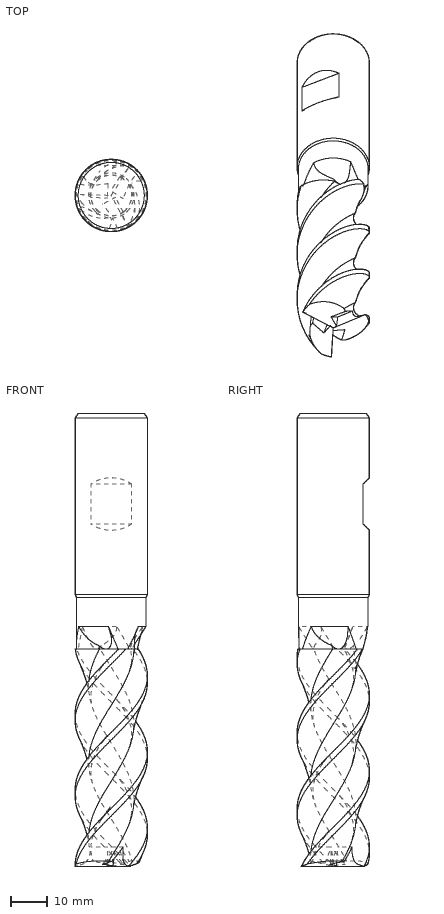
import cadquery as cq
import math

total_length = 125.0
radius = 10.0
cutter_length = 60.0
neck_radius = 9.6
neck_top = 75.0
neck_bevel_height = 0.8
top_bevel_height = 1.2
top_bevel_width = 0.9

flat_depth = 1.8
flat_length = 11.0
flat_center_z = 100.0

flute_count = 3
flute_angle = 360.0 / flute_count
helix_pitch = 2 * math.pi * radius
first_edge_angle = 58.0

land_angle = 12.0
back_middle_share = 0.43
back_middle_radius = 7.9
heel_angle = 77.0
heel_radius = 6.2
flute_floor_angle = 97.0
flute_floor_radius = 5.6
rake_angle = 117.5
rake_radius = 8.4

runout_top = 66.2
runout_twist = -16.0
runout_land_angle = 54.0
runout_steps = 4

end_relief_angle = 14.0
gash_height = 5.4
gash_width = 3.8
gash_lean = 0.8
gash_inner_radius = 1.0
clearance = 2.5


def polar(r, angle):
    return (r * math.cos(math.radians(angle)), r * math.sin(math.radians(angle)))


def tooth_angles():
    return [first_edge_angle + i * flute_angle for i in range(flute_count)]


def twist_over(height):
    return 360.0 * height / helix_pitch


def tooth_section(workplane, turn, land):
    """Closed outline with one land, back, flute floor and rake per tooth."""
    def point(r, angle):
        return polar(r, angle + turn)

    back_middle = land + back_middle_share * (heel_angle - land)
    section = workplane.moveTo(*point(radius, first_edge_angle))
    for edge in tooth_angles():
        section = section.threePointArc(
            point(radius, edge + land / 2), point(radius, edge + land)
        )
        section = section.threePointArc(
            point(back_middle_radius, edge + back_middle), point(heel_radius, edge + heel_angle)
        )
        section = section.threePointArc(
            point(flute_floor_radius, edge + flute_floor_angle), point(rake_radius, edge + rake_angle)
        )
        section = section.lineTo(*point(radius, edge + flute_angle))
    return section.close()


def runout_rod():
    """Rod that turns slightly backward and whose lands widen upward, so that the flutes narrow."""
    height = runout_top - cutter_length
    rod = cq.Workplane("XY", origin=(0, 0, cutter_length))
    for step in range(runout_steps + 1):
        share = step / runout_steps
        turn = twist_over(cutter_length) + share * runout_twist
        land = land_angle + share * (runout_land_angle - land_angle)
        rod = tooth_section(rod, turn, land)
        if step < runout_steps:
            rod = rod.workplane(offset=height / runout_steps)
    return rod.loft()


def end_relief(edge_angle):
    """Wedge below the end face of a tooth, which rises behind its cutting edge."""
    reach = radius + clearance
    rise = reach * math.tan(math.radians(end_relief_angle))
    wedge = (
        cq.Workplane("YZ", origin=(-reach, 0, 0))
        .polyline([(0, 0), (reach, rise), (reach, -clearance), (0, -clearance)])
        .close()
        .extrude(2 * reach)
    )
    sector = (
        cq.Workplane("XY", origin=(0, 0, -clearance))
        .polyline([(0, 0)] + [polar(2 * reach, share * flute_angle) for share in (0, 0.5, 1)])
        .close()
        .extrude(rise + 2 * clearance)
    )
    return wedge.intersect(sector).rotate((0, 0, 0), (0, 0, 1), edge_angle)


def end_gash(edge_angle):
    """Leaning V-shaped notch in front of a cutting edge."""
    gash = (
        cq.Workplane("YZ", origin=(gash_inner_radius, 0, 0))
        .polyline(
            [
                (gash_lean, gash_height),
                (-gash_width, 0),
                (-gash_width, -clearance),
                (0, -clearance),
                (0, 0),
            ]
        )
        .close()
        .extrude(radius)
    )
    return gash.rotate((0, 0, 0), (0, 0, 1), edge_angle)


def make_cutter():
    section = tooth_section(cq.Workplane("XY"), 0, land_angle)
    cutter = section.twistExtrude(cutter_length, twist_over(cutter_length))
    for edge_angle in tooth_angles():
        cutter = cutter.cut(end_relief(edge_angle))
        cutter = cutter.cut(end_gash(edge_angle))
    return cutter


def flat_cutter():
    """Clamping flat with 45 degree end walls."""
    floor_y = radius - flat_depth
    depth = flat_depth + clearance
    half_floor = flat_length / 2
    half_mouth = half_floor + depth
    return (
        cq.Workplane("YZ", origin=(-radius, 0, flat_center_z))
        .polyline(
            [
                (floor_y, -half_floor),
                (floor_y, half_floor),
                (floor_y + depth, half_mouth),
                (floor_y + depth, -half_mouth),
            ]
        )
        .close()
        .extrude(2 * radius)
    )


def make_shank():
    """Clamping shank with a neck into which the flutes run out."""
    core = (
        cq.Workplane("XZ")
        .polyline(
            [
                (0, cutter_length),
                (flute_floor_radius, cutter_length),
                (neck_radius, runout_top),
                (neck_radius, neck_top - neck_bevel_height),
                (radius, neck_top),
                (radius, total_length - top_bevel_height),
                (radius - top_bevel_width, total_length),
                (0, total_length),
            ]
        )
        .close()
        .revolve(360, (0, 0), (0, 1))
    )
    runout_height = runout_top - cutter_length
    neck_bottom = cq.Workplane("XY", origin=(0, 0, cutter_length))
    neck_envelope = neck_bottom.circle(neck_radius).extrude(runout_height)
    runout = runout_rod().intersect(neck_envelope)
    return core.union(runout).cut(flat_cutter())


cutter = make_cutter()
shank = make_shank()
result = cq.Compound.makeCompound([cutter.val(), shank.val()])